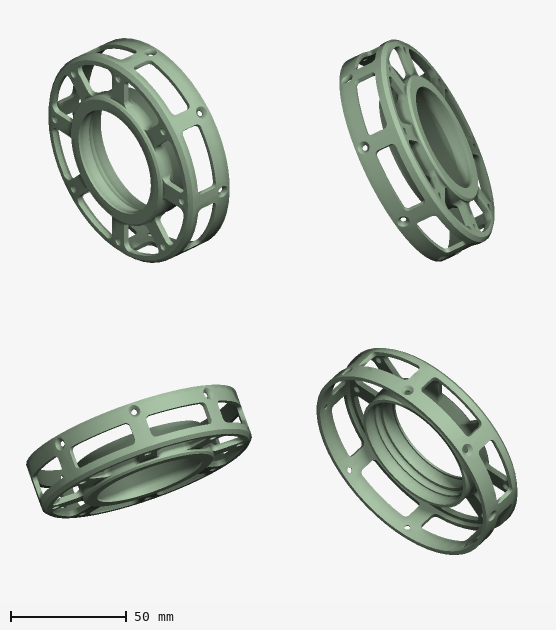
import cadquery as cq
import math

outer_radius = 48.0
depth = 24.3

rim_thickness = 2.0
rim_inner_radius = outer_radius - rim_thickness
rim_chamfer = 1.6
plate_front = 1.9
plate_thickness = 2.5
plate_rear = plate_front + plate_thickness

collar_radius = 30.0
collar_chamfer = 1.0
collar_rear = 7.8
sleeve_radius = 29.0
sleeve_rear = 15.6
spoke_root_rear = 7.2

lip_radius = 24.0
lip_rear = 1.0
bore_steps = [(25.0, 6.8), (26.5, 10.0), (27.5, sleeve_rear)]

spoke_count = 8
spoke_pitch = 360 / spoke_count
spoke_width = 7.9
opening_outer_radius = 44.2
opening_fillet = 3.0
spoke_end = (opening_outer_radius + rim_inner_radius) / 2

spoke_hole_diameter = 3.4
spoke_hole_circle_radius = 42.0

window_front = 6.6
window_length = 10.2
window_post_width = 7.5
window_fillet = 2.0

rim_hole_y = 20.4
rim_hole_diameter = 2.5
countersink_diameter = 5.6
countersink_angle = 90

clearance = 1.0


def ring(outer, inner, front, rear):
    """Plain ring about the Y axis between two Y positions."""
    profile = [(front, inner), (front, outer), (rear, outer), (rear, inner)]
    return cq.Workplane("YZ").polyline(profile).close().revolve(360, (0, 0, 0), (1, 0, 0))


def around_axis(tool, start_angle):
    """Copies of a tool set at every spoke pitch about the Y axis."""
    copies = cq.Workplane("XY")
    for index in range(spoke_count):
        angle = start_angle + index * spoke_pitch
        copies = copies.add(tool.rotate((0, 0, 0), (0, 1, 0), angle))
    return copies.combine()


def sector_between_posts(outer, inner, post_width, front, rear):
    """Ring sector with sides parallel to the posts at 0 and one pitch from +Z."""
    half_post = post_width / 2
    pitch = math.radians(spoke_pitch)
    middle = pitch / 2

    def corner(radius):
        angle = math.asin(half_post / radius)
        return angle, pitch - angle

    def at(radius, angle):
        return radius * math.sin(angle), radius * math.cos(angle)

    outer_start, outer_end = corner(outer)
    inner_start, inner_end = corner(inner)
    return (
        cq.Workplane("XZ", origin=(0, front, 0))
        .moveTo(*at(inner, inner_start))
        .lineTo(*at(outer, outer_start))
        .threePointArc(at(outer, middle), at(outer, outer_end))
        .lineTo(*at(inner, inner_end))
        .threePointArc(at(inner, middle), at(inner, inner_start))
        .close()
        .extrude(front - rear)
    )


def outer_front_edge(body):
    """Largest circular edge of the front face."""
    return body.faces("<Y").edges(cq.selectors.RadiusNthSelector(-1))


def make_rim():
    rim = ring(outer_radius, rim_inner_radius, plate_front, depth)
    flange = ring(outer_radius, opening_outer_radius, plate_front, spoke_root_rear)
    return outer_front_edge(rim.union(flange)).chamfer(rim_chamfer)


def make_hub():
    collar = ring(collar_radius, 0, 0, collar_rear)
    sleeve = ring(sleeve_radius, 0, collar_rear, sleeve_rear)
    return outer_front_edge(collar).chamfer(collar_chamfer).union(sleeve)


def make_spokes():
    """Spokes as deep as their roots, reaching from inside the hub into the rim flange."""
    spoke = cq.Workplane("XY").box(
        spoke_width, spoke_root_rear - plate_front, spoke_end - sleeve_radius, centered=(True, False, False)
    )
    return around_axis(spoke.translate((0, plate_front, sleeve_radius)), 0)


def make_frame():
    """Hub, spokes and rim joined, with filleted corners where the spokes meet the other two."""
    frame = make_rim().union(make_hub()).union(make_spokes())
    margin = 0.1
    corner_zone = cq.selectors.BoxSelector(
        (-rim_inner_radius, plate_front - margin, -rim_inner_radius),
        (rim_inner_radius, spoke_root_rear + margin, rim_inner_radius),
        boundingbox=True,
    )
    return frame.edges(corner_zone).edges("|Y").fillet(opening_fillet)


def make_spoke_relief():
    """Space behind the thin spokes, with a rounded corner that leaves a fillet around the collar."""
    root_radius = spoke_root_rear - plate_rear
    center_radius = collar_radius + root_radius
    arc_reach = root_radius * math.sqrt(0.5)
    profile = (
        cq.Workplane("YZ")
        .moveTo(spoke_root_rear, collar_radius)
        .threePointArc(
            (spoke_root_rear - arc_reach, center_radius - arc_reach),
            (plate_rear, center_radius),
        )
        .lineTo(plate_rear, rim_inner_radius)
        .lineTo(spoke_root_rear, rim_inner_radius)
        .close()
    )
    return profile.revolve(360, (0, 0, 0), (1, 0, 0))


def make_bore():
    bore = ring(lip_radius, 0, 0, lip_rear)
    front = lip_rear
    for radius, rear in bore_steps:
        bore = bore.union(ring(radius, 0, front, rear))
        front = rear
    return bore


def make_spoke_holes():
    hole = (
        cq.Workplane("XZ", origin=(0, plate_front, 0))
        .center(0, spoke_hole_circle_radius)
        .circle(spoke_hole_diameter / 2)
        .extrude(-plate_thickness)
    )
    return around_axis(hole, 0)


def make_windows():
    window = sector_between_posts(
        outer_radius + clearance, rim_inner_radius - clearance, window_post_width,
        window_front, window_front + window_length,
    )
    corners = window.faces("|Y").edges("%LINE")
    return around_axis(corners.fillet(window_fillet), 0)


def make_rim_holes():
    hole_radius = rim_hole_diameter / 2
    sink_radius = countersink_diameter / 2
    sink_depth = (sink_radius - hole_radius) / math.tan(math.radians(countersink_angle / 2))
    profile = [
        (0, rim_inner_radius - clearance),
        (hole_radius, rim_inner_radius - clearance),
        (hole_radius, outer_radius - sink_depth),
        (sink_radius, outer_radius),
        (0, outer_radius),
    ]
    tool = cq.Workplane("XZ").polyline(profile).close().revolve(360, (0, 0, 0), (0, 1, 0))
    return around_axis(tool.translate((0, rim_hole_y, 0)), 0)


result = (
    make_frame()
    .cut(make_spoke_relief())
    .cut(make_bore())
    .cut(make_spoke_holes())
    .cut(make_windows())
    .cut(make_rim_holes())
)